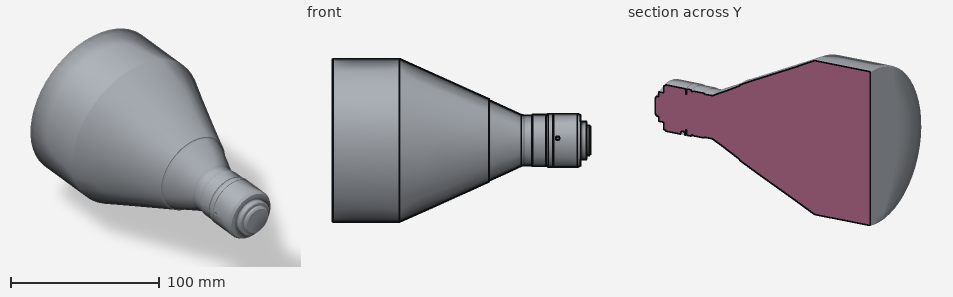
import cadquery as cq
import math

length = 173.9
edge = 0.5

barrel_diameter = 110.0
barrel_radius = barrel_diameter / 2
barrel_end = 45.0
barrel_bevel_height = 0.2

shroud_end = 105.7
shroud_end_radius = 28.0
shoulder_height = 0.9
neck_start = 127.3
neck_radius = 17.0
neck_blend = 1.5
neck_blend_rise = 0.2

ring_start = 134.3
ring_end = 143.6
ring_radius = 17.5

groove_end = 144.2
groove_radius = 17.0

housing_start = 145.2
housing_radius = 18.0
housing_end = 167.1
housing_bevel_length = 2.0
housing_bevel_height = 1.0
slit_start = 148.5
slit_end = 149.0
slit_radius = 14.6

flange_radius = 12.9
flange_end = 171.3
mount_radius = 10.3
mount_bevel = 1.0

screw_count = 3
screw_position = 151.6
screw_diameter = 2.6
screw_depth = 1.7
screw_tip_depth = 0.9
screw_first_angle = 55.0


def make_body():
    """Revolve the half outline (axial position, radius) about the X axis."""
    outline = [
        (0, 0),
        (0, barrel_radius - edge),
        (edge, barrel_radius),
        (barrel_end, barrel_radius),
        (barrel_end + edge, barrel_radius - barrel_bevel_height),
        (shroud_end - edge, shroud_end_radius),
        (shroud_end, shroud_end_radius),
        (shroud_end, shroud_end_radius - shoulder_height),
        (neck_start, neck_radius + neck_blend_rise),
        (neck_start + neck_blend, neck_radius),
        (ring_start, neck_radius),
        (ring_start + edge, ring_radius),
        (ring_end, ring_radius),
        (ring_end, groove_radius),
        (groove_end, groove_radius),
        (housing_start, housing_radius),
        (slit_start, housing_radius),
        (slit_start, slit_radius),
        (slit_end, slit_radius),
        (slit_end, housing_radius),
        (housing_end - housing_bevel_length, housing_radius),
        (housing_end, housing_radius - housing_bevel_height),
        (housing_end, flange_radius),
        (flange_end - edge, flange_radius),
        (flange_end, flange_radius - edge),
        (flange_end, mount_radius),
        (length - mount_bevel, mount_radius),
        (length, mount_radius - mount_bevel),
        (length, 0),
    ]
    profile = cq.Workplane("XZ").polyline(outline).close()
    return profile.revolve(360, (0, 0, 0), (1, 0, 0))


def make_screw_hole(angle):
    """Drill-pointed radial hole cutter, pointing outward at the given angle from +Y."""
    direction = cq.Vector(0, math.cos(math.radians(angle)), math.sin(math.radians(angle)))
    floor = cq.Vector(screw_position, 0, 0) + direction * (housing_radius - screw_depth)
    cutter = cq.Solid.makeCylinder(screw_diameter / 2, 2 * screw_depth, floor, direction)
    tip = cq.Solid.makeCone(screw_diameter / 2, 0, screw_tip_depth, floor, direction * -1)
    return cq.Workplane(cutter.fuse(tip))


result = make_body()
for index in range(screw_count):
    result = result.cut(make_screw_hole(screw_first_angle + index * 360 / screw_count))